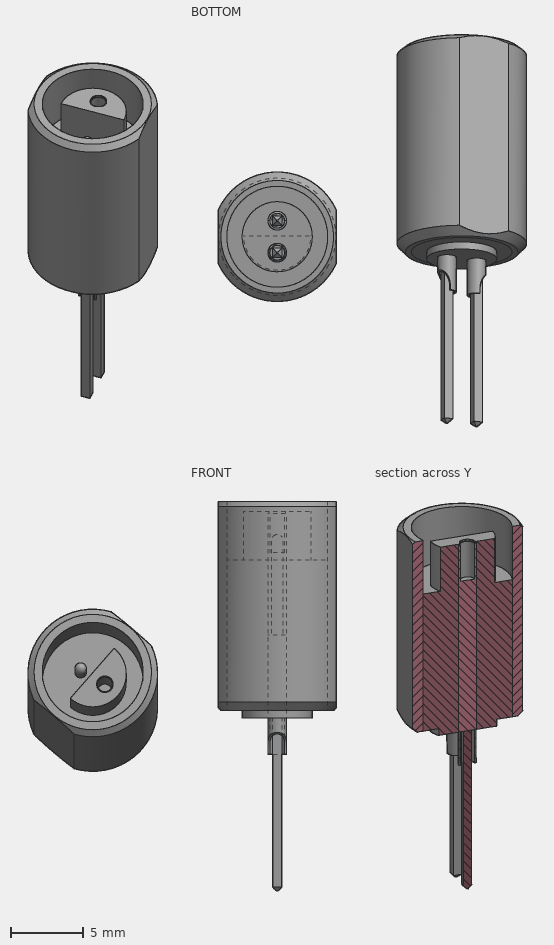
import cadquery as cq
import math


housing_radius = 4.495
housing_height = 14.5
flat_spacing = 8.2
top_chamfer_depth = 0.35
top_chamfer_width = 0.43
bottom_chamfer_depth = 0.6
bottom_chamfer_width = 0.6
bore_radius = 3.496

tail_radius = 2.43
tail_length = 0.5
half_disc_radius = 2.32
half_disc_recess = 0.7
half_disc_overhang = 0.05
floor_depth = 4.05
floor_z = housing_height - floor_depth
half_disc_top_z = housing_height - half_disc_recess
tail_bottom_z = -tail_length

contact_offset = 1.1
contact_radius = 0.65
cup_bore_radius = 0.5
cup_length = 2.5
cup_full_length = 1.0
cup_cut_radius = 1.5
cup_bottom_z = tail_bottom_z - cup_length
contact_shoulder_z = floor_z / 2
male_tip_radius = 0.4
male_tip_projection = 1.35
socket_mouth_radius = 0.57
socket_bore_radius = 0.5
socket_recess = 0.14
socket_bore_depth = 2.7
socket_top_z = half_disc_top_z - socket_recess

overall_height = 27.0
lead_width = 0.65
lead_tip_chamfer = 0.27
lead_bottom_z = housing_height - overall_height
lead_top_z = tail_bottom_z


def cylinder(radius, bottom_z, top_z, y=0.0):
    return cq.Workplane("XY", origin=(0, y, bottom_z)).circle(radius).extrude(top_z - bottom_z)


def make_housing():
    """Chamfered tube with two flats, with a straight bore from end to end."""
    outline = [
        (0, 0),
        (housing_radius - bottom_chamfer_width, 0),
        (housing_radius, bottom_chamfer_depth),
        (housing_radius, housing_height - top_chamfer_depth),
        (housing_radius - top_chamfer_width, housing_height),
        (0, housing_height),
    ]
    shell = cq.Workplane("XZ").polyline(outline).close().revolve(360, (0, 0, 0), (0, 1, 0))
    flats = cq.Workplane("XY").rect(flat_spacing, 2 * housing_radius).extrude(housing_height)
    bore = cylinder(bore_radius, 0, housing_height)
    return shell.intersect(flats).cut(bore)


def make_insulator():
    """Plug that fills the housing, with the raised half disc on its +Y side."""
    tail = cylinder(tail_radius, tail_bottom_z, 0)
    plug = cylinder(bore_radius, 0, floor_z)
    half_disc = (
        cq.Workplane("XY", origin=(0, 0, floor_z))
        .moveTo(-half_disc_radius, -half_disc_overhang)
        .lineTo(-half_disc_radius, 0)
        .threePointArc((0, half_disc_radius), (half_disc_radius, 0))
        .lineTo(half_disc_radius, -half_disc_overhang)
        .close()
        .extrude(half_disc_top_z - floor_z)
    )
    male_seat = cylinder(contact_radius, tail_bottom_z, contact_shoulder_z, -contact_offset)
    male_hole = cylinder(male_tip_radius, contact_shoulder_z, floor_z, -contact_offset)
    socket_seat = cylinder(contact_radius, tail_bottom_z, socket_top_z, contact_offset)
    socket_mouth = cylinder(socket_mouth_radius, socket_top_z, half_disc_top_z, contact_offset)
    insulator = tail.union(plug).union(half_disc)
    for opening in (male_seat, male_hole, socket_seat, socket_mouth):
        insulator = insulator.cut(opening)
    return insulator


def make_solder_cup(side, top_z):
    """Round contact body whose lower end is bored and cut away on its outer side."""
    y = side * contact_offset
    cup = cylinder(contact_radius, cup_bottom_z, top_z, y)
    bore = cylinder(cup_bore_radius, cup_bottom_z, tail_bottom_z, y)

    cut_top_z = tail_bottom_z - cup_full_length
    arc_height = math.sqrt(cup_cut_radius**2 - (cup_cut_radius - contact_radius) ** 2)
    arc_center_y = y + side * cup_cut_radius
    arc_bottom_z = cut_top_z - arc_height
    half_angle = math.asin(arc_height / cup_cut_radius) / 2
    arc_middle = (
        arc_center_y - side * cup_cut_radius * math.cos(half_angle),
        arc_bottom_z + cup_cut_radius * math.sin(half_angle),
    )
    outer_y = y + side * contact_radius
    cut = (
        cq.Workplane("YZ")
        .moveTo(y, cup_bottom_z)
        .lineTo(y, arc_bottom_z)
        .threePointArc(arc_middle, (outer_y, cut_top_z))
        .lineTo(outer_y, cup_bottom_z)
        .close()
        .extrude(contact_radius, both=True)
    )
    return cup.cut(bore).cut(cut)


def make_male_contact():
    """Solder cup with a round-nosed pin standing above the insulator floor."""
    tip_z = floor_z + male_tip_projection
    pin = cylinder(male_tip_radius, contact_shoulder_z, tip_z, -contact_offset)
    nose = cq.Workplane("XY", origin=(0, -contact_offset, tip_z)).sphere(male_tip_radius)
    return make_solder_cup(-1, contact_shoulder_z).union(pin).union(nose)


def make_socket_contact():
    """Solder cup whose upper end is a blind socket, just below the mouth in the half disc."""
    bore = cylinder(socket_bore_radius, socket_top_z - socket_bore_depth, socket_top_z, contact_offset)
    return make_solder_cup(1, socket_top_z).cut(bore)


def make_lead(y):
    """Square pin with a pointed lower end, held in a solder cup."""
    return (
        cq.Workplane("XY", origin=(0, y, lead_bottom_z))
        .rect(lead_width, lead_width)
        .extrude(lead_top_z - lead_bottom_z)
        .faces("<Z")
        .chamfer(lead_tip_chamfer)
    )


housing = make_housing()
insulator = make_insulator()
male_contact = make_male_contact()
socket_contact = make_socket_contact()
leads = [make_lead(side * contact_offset) for side in (-1, 1)]

result = cq.Compound.makeCompound(
    [housing.val(), insulator.val(), male_contact.val(), socket_contact.val(), *[lead.val() for lead in leads]]
)